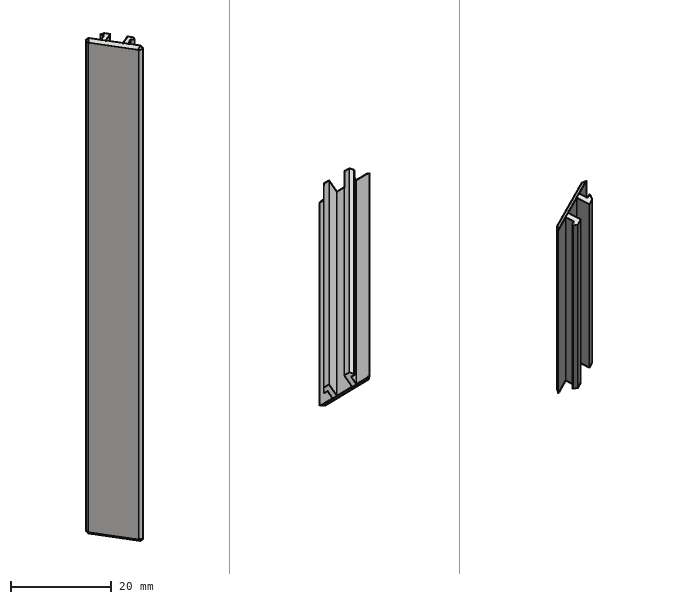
import cadquery as cq

length = 112.0
width = 11.9
plate_thickness = 0.73
face_bevel = 0.7
corner_cut = 0.6

depth = 3.6
leg_inner_x = 1.8
leg_thickness = 1.0
hook_reach = 0.8
hook_height = 1.0
hook_land = 0.2
hook_slope_run = 0.6

leg_outer_x = leg_inner_x + leg_thickness
hook_tip_x = leg_outer_x + hook_reach
hook_base_y = depth - hook_height


def make_plate():
    """Plate with cut corners and a bevel around its front face."""
    plate = cq.Workplane("XY").box(width, plate_thickness, length, centered=(True, False, True))
    plate = plate.edges("|Y").chamfer(corner_cut)
    return plate.faces("<Y").edges().chamfer(face_bevel)


def make_leg():
    """Leg on the +X side with a blunt outward hook that slopes in toward its end."""
    outline = [
        (leg_inner_x, plate_thickness),
        (leg_outer_x, plate_thickness),
        (leg_outer_x, hook_base_y),
        (hook_tip_x, hook_base_y),
        (hook_tip_x, hook_base_y + hook_land),
        (hook_tip_x - hook_slope_run, depth),
        (leg_inner_x, depth),
    ]
    return cq.Workplane("XY").polyline(outline).close().extrude(length / 2, both=True)


leg = make_leg()
result = make_plate().union(leg).union(leg.mirror("YZ"))